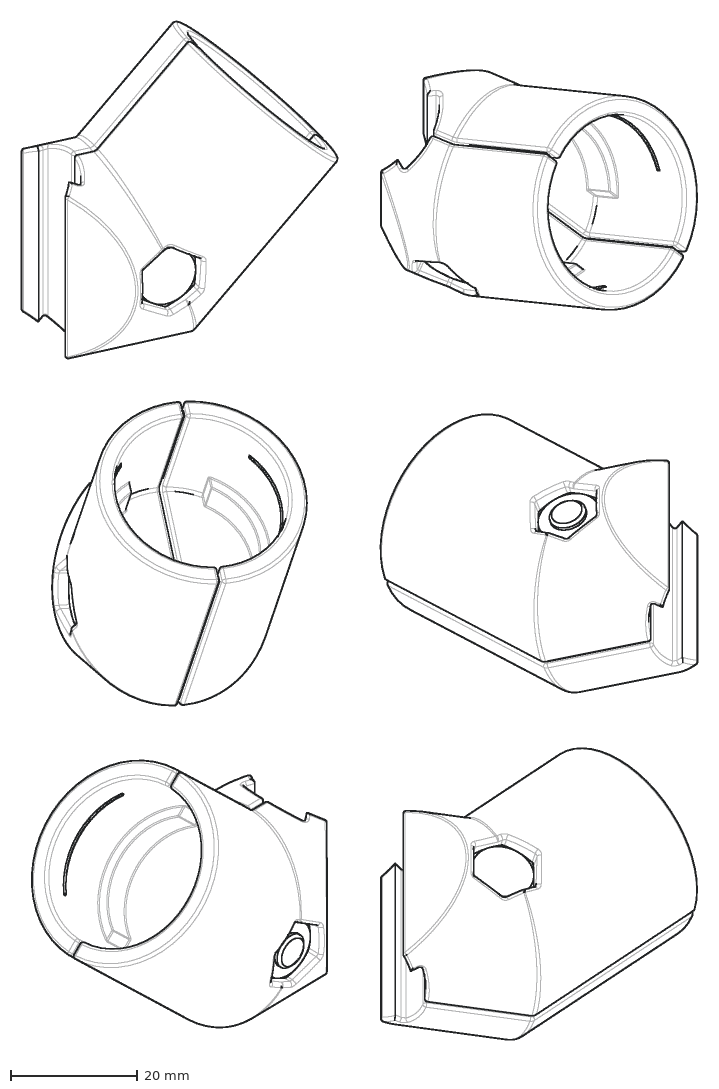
import cadquery as cq
import math

OUTER_RADIUS = 17
WALL = 3
BORE_RADIUS = OUTER_RADIUS - WALL
TUBE_LENGTH = 30
FLOOR_HEIGHT = 8.4
BEND = math.radians(45)
SPLIT_GAP = 0.5
EDGE_RADIUS = 0.5
ELBOW_RADIUS = 1

SADDLE_AXIS_Y = -24.4
SADDLE_RADIUS = 13.7
LIP_RADIUS = 11.8
LIP_EDGE_X = 5.75
LIP_WALL_ANGLE = math.radians(35)
SECTOR_HALF_ANGLE = math.radians(45)
LIP_TIP_X = LIP_RADIUS * math.sin(SECTOR_HALF_ANGLE)

STOP_HEIGHT = 13.75
STOP_RADIUS = 12.25
STOP_SIDE_X = 6.5
STOP_EDGE_RADIUS = 0.2
BEAD_HEIGHT = 24.5
BEAD_RADIUS = 0.25
BEAD_SIDE_X = 10.5

RIB_WIDTH = 1
RIB_LENGTH = 0.4
RIB_INNER = OUTER_RADIUS - WALL / 2 - RIB_WIDTH / 2
RIB_OUTER = RIB_INNER + RIB_WIDTH
RIB_TOP = TUBE_LENGTH - WALL / 2
UPPER_RIB_BOTTOM = 9.9
LOWER_RIB_FRONT_Y = -9.25

BOLT_Y = -1.05
BOLT_DIAMETER = 6
BOLT_HOLE_DIAMETER = 6.2
BOLT_CHAMFER = 0.5
BOLT_TIP_X = 15.6
HEX_FLATS = 10
HEX_HEIGHT = 5
HEX_CHAMFER_ANGLE = math.radians(30)
POCKET_FLATS = 10.2
POCKET_EDGE_RADIUS = 0.6
POCKET_FLOOR_X = 9.6

FAR = 6 * OUTER_RADIUS
TOLERANCE = 0.005

TUBE_AXIS = cq.Vector(0, math.cos(BEND), math.sin(BEND))
TUBE_UP = cq.Vector(0, -math.sin(BEND), math.cos(BEND))
MITER_NORMAL = cq.Vector(0, math.cos(BEND / 2), math.sin(BEND / 2))


def tube_plane(height):
    """Plane across the tube, with local X upward so that cylinder seams fall into the split."""
    return cq.Plane(origin=TUBE_AXIS * height, xDir=TUBE_UP, normal=TUBE_AXIS)


def tube_point(height, up):
    """(Y, Z) of a point in the split plane, given along and across the tube."""
    point = TUBE_AXIS * height + TUBE_UP * up
    return (point.y, point.z)


def cylinder(plane, radius, length):
    return cq.Workplane(plane).circle(radius).extrude(length)


def left_of(x):
    """Block that keeps what lies on the -X side of x."""
    return cq.Workplane("XY").box(FAR, FAR, FAR).translate((x - FAR / 2, 0, 0))


def edges_where(body, test):
    return body.newObject([edge for edge in body.edges().vals() if test(edge)])




def elbow():
    behind_miter = cq.Workplane(cq.Plane((0, 0, 0), (1, 0, 0), MITER_NORMAL)).rect(FAR, FAR).extrude(FAR)
    collar_plane = cq.Plane((0, -2 * OUTER_RADIUS, 0), (0, 0, 1), (0, 1, 0))
    collar = cylinder(collar_plane, OUTER_RADIUS, 4 * OUTER_RADIUS).cut(behind_miter)
    tube = cylinder(tube_plane(-TUBE_LENGTH), OUTER_RADIUS, 2 * TUBE_LENGTH).intersect(behind_miter)
    return collar.union(tube)


def bore():
    return cylinder(tube_plane(FLOOR_HEIGHT), BORE_RADIUS, TUBE_LENGTH)


def saddle_point(radius, x):
    return (x, SADDLE_AXIS_Y + math.sqrt(radius**2 - x**2))


def saddle_cutter():
    """Vertical prism of all that lies in front of the left half of the saddle."""
    lip_edge = saddle_point(LIP_RADIUS, -LIP_EDGE_X)
    lip_middle = saddle_point(LIP_RADIUS, -(LIP_EDGE_X + LIP_TIP_X) / 2)
    lip_tip = saddle_point(LIP_RADIUS, -LIP_TIP_X)
    wall_x = -math.sin(LIP_WALL_ANGLE)
    wall_y = math.cos(LIP_WALL_ANGLE)
    outward = lip_edge[0] * wall_x + (lip_edge[1] - SADDLE_AXIS_Y) * wall_y
    wall_length = math.sqrt(outward**2 + SADDLE_RADIUS**2 - LIP_RADIUS**2) - outward
    corner = (lip_edge[0] + wall_length * wall_x, lip_edge[1] + wall_length * wall_y)
    return (
        cq.Workplane("XY", origin=(0, 0, -FAR / 2))
        .moveTo(0, SADDLE_AXIS_Y + SADDLE_RADIUS)
        .threePointArc(saddle_point(SADDLE_RADIUS, corner[0] / 2), corner)
        .lineTo(*lip_edge)
        .threePointArc(lip_middle, lip_tip)
        .lineTo(-FAR * math.sin(SECTOR_HALF_ANGLE), SADDLE_AXIS_Y + FAR * math.cos(SECTOR_HALF_ANGLE))
        .lineTo(-FAR, -FAR)
        .lineTo(0, -FAR)
        .close()
        .extrude(FAR)
    )


def hexagon(side, flats, length):
    """Hexagonal prism on the bolt axis, from the pocket floor outward, corners up and down."""
    plane = cq.Plane((side * POCKET_FLOOR_X, BOLT_Y, 0), (0, 1, 0), (side, 0, 0))
    return cq.Workplane(plane).polygon(6, flats, circumscribed=True).extrude(length)


def shaft(diameter, start_x, end_x):
    plane = cq.Plane((start_x, BOLT_Y, 0), (0, 1, 0), (1, 0, 0))
    return cylinder(plane, diameter / 2, end_x - start_x)


def bolt_distance(point):
    return math.hypot(point.y - BOLT_Y, point.z)


def is_pocket_edge(edge):
    """True for the edges of the hex pocket, including its rounded mouth."""
    center = edge.Center()
    pocket_reach = POCKET_FLATS / math.sqrt(3) + 2 * POCKET_EDGE_RADIUS
    return center.x < -POCKET_FLOOR_X + TOLERANCE and bolt_distance(center) < pocket_reach


def is_pocket_wall_edge(edge):
    """True for the mouth and the corners of the hex pocket, but not for its floor."""
    return is_pocket_edge(edge) and edge.Center().x < -POCKET_FLOOR_X - TOLERANCE


def is_elbow_edge(edge):
    """True for the edges along which the collar and the tube meet."""
    ends_and_middle = [edge.positionAt(t) for t in (0, 0.5, 1)]
    in_miter = all(abs(point.dot(MITER_NORMAL)) < TOLERANCE for point in ends_and_middle)
    return in_miter and ends_and_middle[1].Length > OUTER_RADIUS / 2 and not is_pocket_edge(edge)


def is_rounded_edge(edge):
    """True for all edges but those of the pocket and the sharp vertical edge of the lip."""
    box = edge.BoundingBox()
    vertical = box.xlen < TOLERANCE and box.ylen < TOLERANCE
    on_lip_edge = vertical and abs(edge.Center().x + LIP_EDGE_X) < TOLERANCE
    return not on_lip_edge and not is_pocket_edge(edge)


def stop_ledge():
    """Ring on the bore floor; its outer part overlaps the wall."""
    plane = tube_plane(FLOOR_HEIGHT)
    ring = cylinder(plane, BORE_RADIUS + WALL / 2, STOP_HEIGHT - FLOOR_HEIGHT)
    ring = ring.cut(cylinder(plane, STOP_RADIUS, STOP_HEIGHT))
    return ring.intersect(left_of(-STOP_SIDE_X))


def is_stop_edge(edge):
    center = edge.Center()
    height = center.dot(TUBE_AXIS)
    radius = math.hypot(center.x, center.dot(TUBE_UP))
    in_height = FLOOR_HEIGHT - TOLERANCE < height < STOP_HEIGHT + TOLERANCE
    in_radius = radius < BORE_RADIUS + TOLERANCE
    return in_height and in_radius and center.x < -STOP_SIDE_X + TOLERANCE


def snap_bead():
    ring = cq.Solid.makeTorus(BORE_RADIUS, BEAD_RADIUS, TUBE_AXIS * BEAD_HEIGHT, TUBE_AXIS)
    return cq.Workplane(ring).intersect(left_of(-BEAD_SIDE_X))


def shell_half():
    """Left half of the shell, without its rib."""
    half = elbow().cut(bore()).intersect(left_of(-SPLIT_GAP / 2)).cut(saddle_cutter())
    half = half.cut(hexagon(-1, POCKET_FLATS, FAR))
    half = edges_where(half, is_pocket_wall_edge).fillet(POCKET_EDGE_RADIUS)
    half = edges_where(half, is_elbow_edge).fillet(ELBOW_RADIUS)
    half = edges_where(half, is_rounded_edge).fillet(EDGE_RADIUS)
    half = half.union(stop_ledge())
    half = edges_where(half, is_stop_edge).fillet(STOP_EDGE_RADIUS)
    half = half.union(snap_bead())
    return half.cut(shaft(BOLT_HOLE_DIAMETER, -FAR, FAR))




def rib(outline, side):
    """Rib on the split face of the half at this side, reaching into the gap."""
    split_face = cq.Workplane("YZ", origin=(side * SPLIT_GAP / 2, 0, 0))
    return split_face.polyline(outline).close().extrude(-side * RIB_LENGTH)


def upper_rib():
    outline = [
        tube_point(UPPER_RIB_BOTTOM, RIB_INNER),
        tube_point(UPPER_RIB_BOTTOM, RIB_OUTER),
        tube_point(RIB_TOP, RIB_OUTER),
        tube_point(RIB_TOP, RIB_INNER),
    ]
    return rib(outline, -1)


def lower_rib():
    """Rib along the underside of the tube and on along the collar."""
    miter_slope = math.tan(BEND / 2)
    outline = [
        tube_point(RIB_TOP, -RIB_INNER),
        tube_point(RIB_TOP, -RIB_OUTER),
        (RIB_OUTER * miter_slope, -RIB_OUTER),
        (LOWER_RIB_FRONT_Y, -RIB_OUTER),
        (LOWER_RIB_FRONT_Y, -RIB_INNER),
        (RIB_INNER * miter_slope, -RIB_INNER),
    ]
    return rib(outline, 1)




def chamfered_hex(side):
    """Hexagon whose outer corners are cut by a cone that touches the flats at the outer face."""
    outer_radius = HEX_FLATS / 2
    inner_radius = outer_radius + HEX_HEIGHT / math.tan(HEX_CHAMFER_ANGLE)
    floor_center = cq.Vector(side * POCKET_FLOOR_X, BOLT_Y, 0)
    cone = cq.Solid.makeCone(inner_radius, outer_radius, HEX_HEIGHT, floor_center, cq.Vector(side, 0, 0))
    return hexagon(side, HEX_FLATS, HEX_HEIGHT).intersect(cq.Workplane(cone))


def hex_bolt():
    threaded_shaft = shaft(BOLT_DIAMETER, -BOLT_TIP_X, POCKET_FLOOR_X)
    return threaded_shaft.faces("<X").chamfer(BOLT_CHAMFER).union(chamfered_hex(1))


def hex_nut():
    return chamfered_hex(-1).cut(shaft(BOLT_DIAMETER, -FAR, 0))



plain_half = shell_half()
left_half = plain_half.union(upper_rib())
right_half = plain_half.mirror("YZ").union(lower_rib())
bolt = hex_bolt()
nut = hex_nut()

result = cq.Compound.makeCompound([left_half.val(), right_half.val(), bolt.val(), nut.val()])